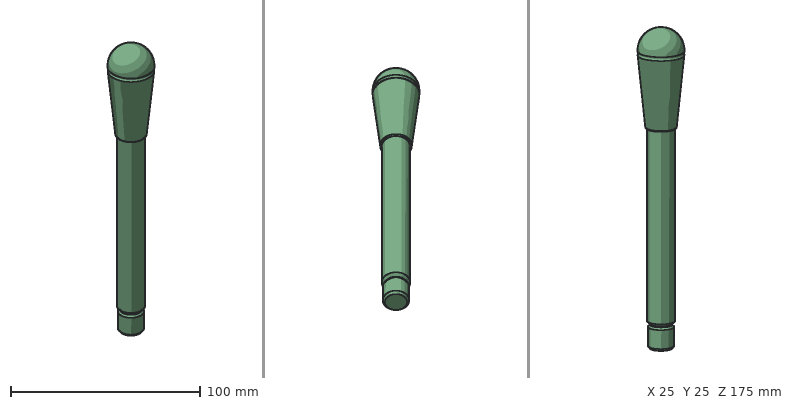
import cadquery as cq
import math

total_length = 175.0
ball_radius = 25.0 / 2

thread_radius = 14.0 / 2
end_radius = 11.7 / 2
end_chamfer_height = 1.4
thread_top = 11.7

neck_radius = 11.7 / 2
neck_bottom = thread_top + (thread_radius - neck_radius)
neck_top = 13.5
shaft_radius = 15.0 / 2
shaft_bottom = 15.0

grip_bottom = 120.0
grip_bottom_radius = 8.4
grip_edge_chamfer = 0.7
grip_top = 160.0
grip_top_radius = 12.5

groove_radius = 11.5
groove_top = 162.0
ball_center = total_length - ball_radius
cap_edge_radius = math.sqrt(ball_radius**2 - (groove_top - ball_center) ** 2)


def make_shaft():
    """Turned shaft with a chamfered thread end and an undercut."""
    return (
        cq.Workplane("XZ")
        .moveTo(0, 0)
        .lineTo(end_radius, 0)
        .lineTo(thread_radius, end_chamfer_height)
        .lineTo(thread_radius, thread_top)
        .lineTo(neck_radius, neck_bottom)
        .lineTo(neck_radius, neck_top)
        .lineTo(shaft_radius, shaft_bottom)
        .lineTo(shaft_radius, grip_top)
        .lineTo(0, grip_top)
        .close()
        .revolve(360, (0, 0, 0), (0, 1, 0))
    )


def make_grip():
    """Tapered grip with a rounded groove below its spherical cap."""
    return (
        cq.Workplane("XZ")
        .moveTo(0, grip_bottom)
        .lineTo(grip_bottom_radius - grip_edge_chamfer, grip_bottom)
        .lineTo(grip_bottom_radius, grip_bottom + grip_edge_chamfer)
        .lineTo(grip_top_radius, grip_top)
        .threePointArc((groove_radius, (grip_top + groove_top) / 2), (cap_edge_radius, groove_top))
        .threePointArc((ball_radius * math.cos(math.pi / 4),
                        ball_center + ball_radius * math.sin(math.pi / 4)),
                       (0, total_length))
        .close()
        .revolve(360, (0, 0, 0), (0, 1, 0))
    )


result = make_shaft().union(make_grip())